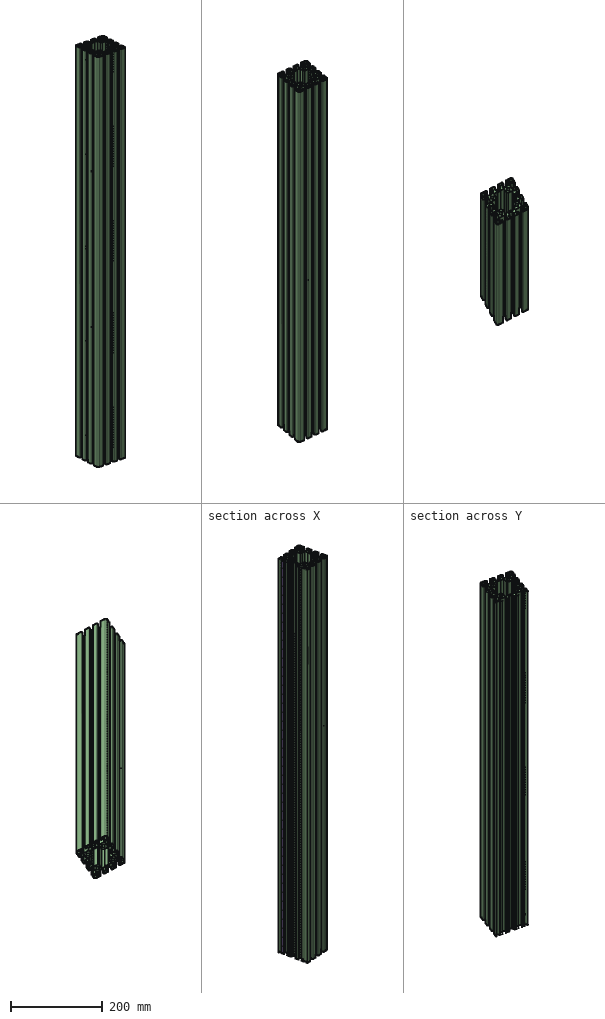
import cadquery as cq
import math

SIDE = 80.0
LENGTH = 1000.0
CORNER_RADIUS = 4.0

SLOT_OFFSET = 20.0
SLOT_OPENING = 8.0
SLOT_HEAD_WIDTH = 17.2
SLOT_DEPTH = 12.25
SLOT_LIP_AT_OPENING = 5.2
SLOT_LIP_AT_HEAD_SIDE = 3.7
SLOT_FLOOR_CHAMFER = 2.4

GROOVE_OPENING = 8.5
GROOVE_UNDERCUT_WIDTH = 13.8
GROOVE_UNDERCUT_HEIGHT = 3.0
GROOVE_DEPTH = 12.0
GROOVE_LIP = 4.0

MOUTH_RADIUS = 1.5

CAVITY_REACH = 25.5
BOSS_INNER = 12.6
BOSS_CHAMFER = 3.0
CORE_DIAMETER = 6.8

RIB_WIDTH = 8.5
RIB_HEIGHT = 0.8

HOLLOW_CENTER = 34.6
HOLLOW_DIAMETER = 6.8

HALF = SIDE / 2
QUARTER_TURNS = (0, 90, 180, 270)


def prism(outline):
    """Full-length prism over a closed polygon."""
    return cq.Workplane("XY").polyline(outline).close().extrude(LENGTH)


def symmetric_prism(right_side, center_x):
    """Prism symmetric about x = center_x, from the points of its right-hand side."""
    left_side = [(-x, y) for x, y in reversed(right_side)]
    return prism([(center_x + x, y) for x, y in right_side + left_side])


def rounded_mouth(opening, center_x):
    """Flare that rounds both lip edges of an opening in the +Y side."""
    neck = opening / 2
    tangent_y = HALF - MOUTH_RADIUS
    arc_rise = MOUTH_RADIUS * math.sin(math.radians(45))
    arc_mid_x = neck + MOUTH_RADIUS - arc_rise
    arc_mid_y = tangent_y + arc_rise
    outer = neck + MOUTH_RADIUS
    return (
        cq.Workplane("XY")
        .moveTo(center_x + neck, tangent_y)
        .threePointArc((center_x + arc_mid_x, arc_mid_y), (center_x + outer, HALF))
        .lineTo(center_x - outer, HALF)
        .threePointArc((center_x - arc_mid_x, arc_mid_y), (center_x - neck, tangent_y))
        .close()
        .extrude(LENGTH)
    )


def t_slot(center_x):
    """T-slot in the +Y side, with sloping lips and a chamfered floor."""
    neck = SLOT_OPENING / 2
    head = SLOT_HEAD_WIDTH / 2
    floor = HALF - SLOT_DEPTH
    right_side = [
        (head - SLOT_FLOOR_CHAMFER, floor),
        (head, floor + SLOT_FLOOR_CHAMFER),
        (head, HALF - SLOT_LIP_AT_HEAD_SIDE),
        (neck, HALF - SLOT_LIP_AT_OPENING),
        (neck, HALF),
    ]
    return symmetric_prism(right_side, center_x).union(rounded_mouth(SLOT_OPENING, center_x))


def middle_groove():
    """Undercut groove in the middle of the +Y side."""
    neck = GROOVE_OPENING / 2
    undercut = GROOVE_UNDERCUT_WIDTH / 2
    undercut_top = HALF - GROOVE_LIP
    undercut_bottom = undercut_top - GROOVE_UNDERCUT_HEIGHT
    right_side = [
        (neck, HALF - GROOVE_DEPTH),
        (neck, undercut_bottom),
        (undercut, undercut_bottom),
        (undercut, undercut_top),
        (neck, undercut_top),
        (neck, HALF),
    ]
    return symmetric_prism(right_side, 0).union(rounded_mouth(GROOVE_OPENING, 0))


def cavity_arm():
    """Arm of the central cavity reaching towards +Y, with the rib left standing at its end."""
    rib = RIB_WIDTH / 2
    right_side = [
        (BOSS_INNER, 0),
        (BOSS_INNER, CAVITY_REACH),
        (rib, CAVITY_REACH),
        (rib, CAVITY_REACH - RIB_HEIGHT),
    ]
    return symmetric_prism(right_side, 0)


def boss_chamfer():
    """Corner cut off the boss in the +X +Y quadrant."""
    far = BOSS_INNER + BOSS_CHAMFER
    return prism([(BOSS_INNER, BOSS_INNER), (far, BOSS_INNER), (BOSS_INNER, far)])


def diagonal_hole(diameter, offset):
    """Full-length hole on the diagonal of the +X +Y quadrant."""
    return cq.Workplane("XY").center(offset, offset).circle(diameter / 2).extrude(LENGTH)


cutters = [
    t_slot(-SLOT_OFFSET),
    t_slot(SLOT_OFFSET),
    middle_groove(),
    cavity_arm(),
    boss_chamfer(),
    diagonal_hole(CORE_DIAMETER, SLOT_OFFSET),
    diagonal_hole(HOLLOW_DIAMETER, HOLLOW_CENTER),
]

body = cq.Workplane("XY").rect(SIDE, SIDE).extrude(LENGTH).edges("|Z").fillet(CORNER_RADIUS)
for angle in QUARTER_TURNS:
    for cutter in cutters:
        body = body.cut(cutter.rotate((0, 0, 0), (0, 0, 1), angle))

result = body